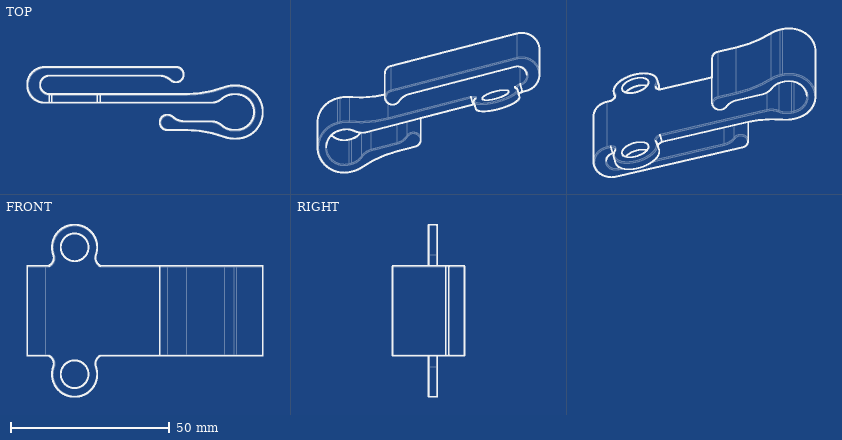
import cadquery as cq
import math

width = 28.6
thickness = 2.865
gap = 2 * thickness
edge_round = 0.35

length = 74.62
hook_outer_radius = thickness + gap / 2
hook_inner_x = 7.05
hook_tip_x = 47.1
clip_tip_x = 44.4

tip_radius = 2.47
tip_blend_radius = 5.4
ring_outer_radius = 8.455
ring_inner_radius = ring_outer_radius - thickness
ring_x = length - ring_outer_radius
ring_flat = 0.8
ring_left_x = ring_x - ring_flat
neck_radius = tip_blend_radius
flare_radius = 34.2

lug_x = 15.05
lug_radius = 7.2
lug_overall_height = 54.53
lug_z = lug_overall_height / 2 - lug_radius
lug_hole_diameter = 8.7
lug_corner_radius = 2.8
lug_sides = (1, -1)

web_bottom = gap / 2
web_top = web_bottom + thickness
hook_mid = web_top + gap / 2
arm_bottom = web_top + gap
arm_top = arm_bottom + thickness
hook_tip_y = arm_top - tip_radius
clip_tip_y = -web_top + tip_radius


def blend_span(circle_radius, blend_radius, height):
    """Distance along a line from a circle's foot to the start of the arc that
    touches both, for a line at the given height above the circle centre."""
    return math.sqrt((circle_radius + blend_radius) ** 2 - (blend_radius + height) ** 2)


def toward(start, end, distance):
    """Point at a distance from start in the direction of end."""
    scale = distance / math.hypot(end[0] - start[0], end[1] - start[1])
    return (start[0] + (end[0] - start[0]) * scale, start[1] + (end[1] - start[1]) * scale)


def arc_middle(centre, start, end):
    """Middle of the short arc between two points of a circle."""
    chord_middle = ((start[0] + end[0]) / 2, (start[1] + end[1]) / 2)
    return toward(centre, chord_middle, math.dist(centre, start))


def mirrored(point):
    """The point on the other side of the ring's centre line."""
    return (point[0], -point[1])


def strip_outline():
    """Closed XY section of the hook, web, ring and clip arm."""
    left_centre = (ring_left_x, 0)
    hook_tip = (hook_tip_x, hook_tip_y)
    clip_tip = (clip_tip_x, clip_tip_y)

    flare_start = (ring_left_x - blend_span(ring_outer_radius, flare_radius, web_top), web_top)
    flare_centre = (flare_start[0], web_top + flare_radius)
    flare_end = toward(left_centre, flare_centre, ring_outer_radius)
    flare_middle = arc_middle(flare_centre, flare_start, flare_end)

    neck_start = (ring_left_x - blend_span(ring_inner_radius, neck_radius, web_bottom), web_bottom)
    neck_centre = (neck_start[0], web_bottom + neck_radius)
    neck_end = toward(left_centre, neck_centre, ring_inner_radius)
    neck_middle = arc_middle(neck_centre, neck_start, neck_end)

    outer_top_left = (ring_left_x, ring_outer_radius)
    outer_middle = arc_middle(left_centre, flare_end, outer_top_left)
    bore_top_left = (ring_left_x, ring_inner_radius)
    bore_middle = arc_middle(left_centre, neck_end, bore_top_left)

    hook_span = blend_span(tip_radius, tip_blend_radius, hook_tip_y - arm_bottom)
    hook_blend_start = (hook_tip_x - hook_span, arm_bottom)
    hook_blend_centre = (hook_blend_start[0], arm_bottom - tip_blend_radius)
    hook_blend_end = toward(hook_tip, hook_blend_centre, tip_radius)

    clip_span = blend_span(tip_radius, tip_blend_radius, -web_bottom - clip_tip_y)
    clip_blend_start = (clip_tip_x + clip_span, -web_bottom)
    clip_blend_centre = (clip_blend_start[0], tip_blend_radius - web_bottom)
    clip_blend_end = toward(clip_tip, clip_blend_centre, tip_radius)

    return (
        cq.Workplane("XY")
        .moveTo(hook_outer_radius, arm_top)
        .threePointArc((0, hook_mid), (hook_outer_radius, web_bottom))
        .lineTo(*neck_start)
        .threePointArc(neck_middle, neck_end)
        .threePointArc(bore_middle, bore_top_left)
        .lineTo(ring_x, ring_inner_radius)
        .threePointArc((ring_x + ring_inner_radius, 0), (ring_x, -ring_inner_radius))
        .lineTo(*mirrored(bore_top_left))
        .threePointArc(mirrored(bore_middle), mirrored(neck_end))
        .threePointArc(mirrored(neck_middle), mirrored(neck_start))
        .lineTo(*clip_blend_start)
        .threePointArc(arc_middle(clip_blend_centre, clip_blend_start, clip_blend_end), clip_blend_end)
        .threePointArc((clip_tip_x - tip_radius, clip_tip_y), (clip_tip_x, -web_top))
        .lineTo(*mirrored(flare_start))
        .threePointArc(mirrored(flare_middle), mirrored(flare_end))
        .threePointArc(mirrored(outer_middle), mirrored(outer_top_left))
        .lineTo(ring_x, -ring_outer_radius)
        .threePointArc((length, 0), (ring_x, ring_outer_radius))
        .lineTo(*outer_top_left)
        .threePointArc(outer_middle, flare_end)
        .threePointArc(flare_middle, flare_start)
        .lineTo(hook_inner_x, web_top)
        .threePointArc((hook_inner_x - gap / 2, hook_mid), (hook_inner_x, arm_bottom))
        .lineTo(*hook_blend_start)
        .threePointArc(arc_middle(hook_blend_centre, hook_blend_start, hook_blend_end), hook_blend_end)
        .threePointArc((hook_tip_x + tip_radius, hook_tip_y), (hook_tip_x, arm_top))
        .close()
    )


def lug_outline(side):
    """Lug on the upper (+1) or lower (-1) edge of the web, with hollow corners at its foot."""
    strip_edge = width / 2
    corner_height = strip_edge - edge_round + lug_corner_radius
    corner_reach = math.sqrt((lug_radius + lug_corner_radius) ** 2 - (lug_z - corner_height) ** 2)
    foot_reach = corner_reach - math.sqrt(lug_corner_radius**2 - (corner_height - strip_edge) ** 2)
    lug_centre = (lug_x, lug_z)
    left_corner = (lug_x - corner_reach, corner_height)
    left_foot = (lug_x - foot_reach, strip_edge)
    left_end = toward(left_corner, lug_centre, lug_corner_radius)
    left_middle = arc_middle(left_corner, left_foot, left_end)

    def place(point, across=1):
        return (lug_x + across * (point[0] - lug_x), side * point[1])

    return (
        cq.Workplane("XZ", origin=(0, web_top, 0))
        .moveTo(*place(left_foot))
        .threePointArc(place(left_middle), place(left_end))
        .threePointArc(place((lug_x, lug_z + lug_radius)), place(left_end, -1))
        .threePointArc(place(left_middle, -1), place(left_foot, -1))
        .lineTo(*place((left_foot[0], 0), -1))
        .lineTo(*place((left_foot[0], 0)))
        .close()
    )


def make_lug(side):
    """Lug plate with its curved outline rounded on both faces."""
    return lug_outline(side).extrude(thickness).edges("%CIRCLE").fillet(edge_round)


def lug_hole(side):
    """Cutter for the sharp-edged hole through a lug."""
    return (
        cq.Workplane("XZ", origin=(lug_x, web_top, side * lug_z))
        .circle(lug_hole_diameter / 2)
        .extrude(thickness)
    )


def make_strip():
    """Extruded strip with every edge of its two end faces rounded."""
    return strip_outline().extrude(width / 2, both=True).faces("|Z").edges().fillet(edge_round)


body = make_strip()
for side in lug_sides:
    body = body.union(make_lug(side))

for side in lug_sides:
    body = body.cut(lug_hole(side))

result = body